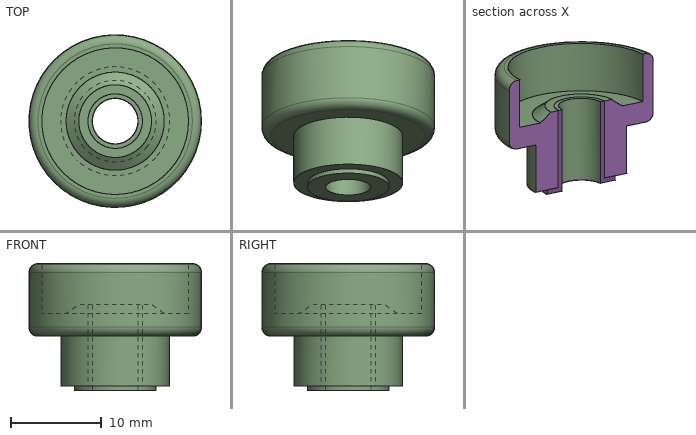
import cadquery as cq

wheel_radius = 9.5
wheel_height = 8.0
edge_radius = 1.0
cup_radius = 8.07
cup_depth = 5.5
hub_radius = 6.0
hub_length = 5.5

cone_base_radius = 5.4
cone_top_radius = 4.0
cone_height = 1.0

bushing_bore_radius = 2.5
bushing_radius = 3.0
flange_radius = 4.5
flange_thickness = 0.5

hub_bottom = flange_thickness
wheel_bottom = hub_bottom + hub_length
wheel_top = wheel_bottom + wheel_height
cup_floor = wheel_top - cup_depth
cone_top = cup_floor + cone_height


def cylinder(radius, bottom, top):
    return cq.Workplane("XY").workplane(offset=bottom).circle(radius).extrude(top - bottom)


def make_cone():
    return (
        cq.Workplane("XZ")
        .moveTo(0, cup_floor)
        .lineTo(cone_base_radius, cup_floor)
        .lineTo(cone_top_radius, cone_top)
        .lineTo(0, cone_top)
        .close()
        .revolve(360, (0, 0, 0), (0, 1, 0))
    )


def make_wheel():
    rim = cylinder(wheel_radius, wheel_bottom, wheel_top).edges().fillet(edge_radius)
    hub = cylinder(hub_radius, hub_bottom, wheel_bottom)
    cup = cylinder(cup_radius, cup_floor, wheel_top)
    bushing_hole = cylinder(bushing_radius, hub_bottom, cone_top)
    return rim.union(hub).cut(cup).union(make_cone()).cut(bushing_hole)


def make_bushing():
    sleeve = cylinder(bushing_radius, 0, cone_top)
    flange = cylinder(flange_radius, 0, flange_thickness)
    bore = cylinder(bushing_bore_radius, 0, cone_top)
    return sleeve.union(flange).cut(bore)


wheel = make_wheel()
bushing = make_bushing()

result = cq.Compound.makeCompound([wheel.val(), bushing.val()])